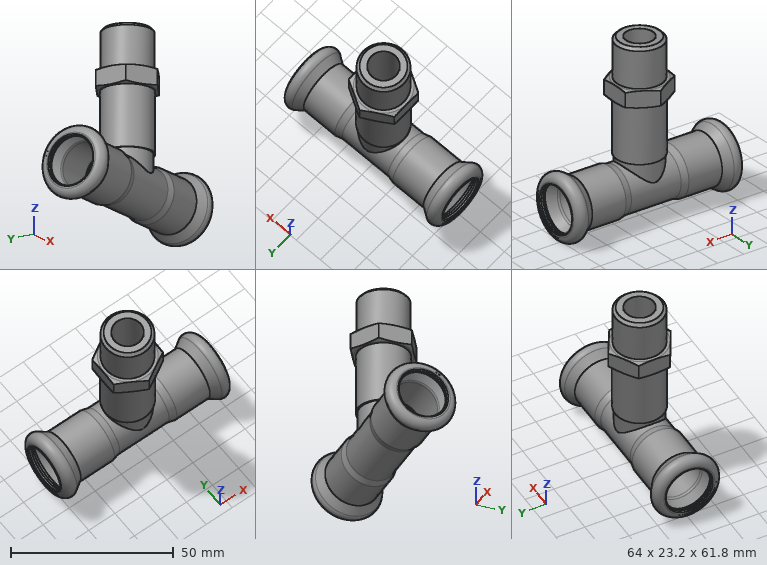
import cadquery as cq
import math

half_length = 32.0
run_radius = 8.5
run_bore_radius = 7.0
run_half_length = 9.5
sleeve_radius = 9.15
sleeve_start = 12.0
socket_radius = 7.6

bead_radius = 11.6
bead_curve = 2.7
bead_center_radius = bead_radius - bead_curve
bead_center = half_length - bead_curve
bead_cone_end = 24.8
lip_radius = 7.9
lip_chamfer = 0.4
socket_cone_end = 25.3
socket_blend = 1.5

ring_section = 1.0
ring_position = 30.85
ring_center_radius = lip_radius + ring_section
groove_radius = ring_center_radius + ring_section

branch_radius = 8.0
branch_bore_radius = 6.5
branch_top = 10.1

nipple_radius = 8.5
nipple_bore_radius = 5.0
nipple_top = 50.2
thread_radius = 16.66 / 2
thread_chamfer = 1.0
thread_chamfer_height = 1.0
hex_bottom = 30.2
hex_height = 6.0
hex_across_flats = 19.0
hex_corner_radius = hex_across_flats / math.sqrt(3)
hex_face_radius = 9.3
hex_turn = 30
hex_chamfer_angle = math.radians(15)

tab_position = 8.0
tab_thickness = 1.0
tab_head_radius = 1.0
tab_stem_width = 0.6
tab_foot_depth = 0.3


def tangent_point(center, radius, outside):
    """Point where the line from `outside` touches the circle, on the side away from the axis."""
    reach = math.dist(center, outside)
    heading = math.atan2(outside[1] - center[1], outside[0] - center[0])
    angle = heading + math.acos(radius / reach)
    return center[0] + radius * math.cos(angle), center[1] + radius * math.sin(angle)


bead_middle = (-bead_center, bead_center_radius)
outer_touch = tangent_point(bead_middle, bead_curve, (-bead_cone_end, sleeve_radius))
cone_angle = math.atan2(outer_touch[0] - bead_middle[0], outer_touch[1] - bead_middle[1])
groove_end = -socket_cone_end - (groove_radius - socket_radius) / math.tan(cone_angle)
blend_run = socket_blend * math.tan(cone_angle / 2)
blend_end = -socket_cone_end + blend_run
blend_start = (-socket_cone_end - blend_run * math.cos(cone_angle),
               socket_radius + blend_run * math.sin(cone_angle))
blend_middle = (blend_end - socket_blend * math.sin(cone_angle / 2),
                socket_radius + socket_blend * (1 - math.cos(cone_angle / 2)))


def spin_about_run(profile):
    return profile.close().revolve(360, (0, 0, 0), (1, 0, 0))


def mirrored_about_center(solid):
    return solid.mirror("YZ")


def run_half_outside():
    """Solid of revolution under the outer skin of the -X half of the run."""
    return spin_about_run(
        cq.Workplane("XY").moveTo(0, 0).lineTo(-half_length, 0).lineTo(-half_length, bead_center_radius)
        .threePointArc((bead_middle[0], bead_radius), outer_touch)
        .lineTo(-bead_cone_end, sleeve_radius).lineTo(-sleeve_start, sleeve_radius)
        .lineTo(-run_half_length, run_radius).lineTo(0, run_radius)
    )


def run_half_inside():
    """Lip, ring groove, cone, socket and bore of the -X half of the run, as one solid to remove."""
    return spin_about_run(
        cq.Workplane("XY").moveTo(0, 0).lineTo(-half_length, 0).lineTo(-half_length, lip_radius + lip_chamfer)
        .lineTo(-half_length + lip_chamfer, lip_radius).lineTo(-ring_position, lip_radius)
        .threePointArc((-ring_position - ring_section, ring_center_radius),
                       (-ring_position, groove_radius))
        .lineTo(groove_end, groove_radius)
        .lineTo(*blend_start).threePointArc(blend_middle, (blend_end, socket_radius))
        .lineTo(-sleeve_start, socket_radius).lineTo(-sleeve_start, run_bore_radius)
        .lineTo(0, run_bore_radius)
    )


def make_tab():
    foot = -run_bore_radius - tab_foot_depth
    plane = cq.Workplane("YZ").workplane(offset=tab_position)
    head = plane.circle(tab_head_radius).extrude(tab_thickness)
    stem = plane.center(0, foot / 2).rect(tab_stem_width, -foot).extrude(tab_thickness)
    return head.union(stem)


def make_tee():
    outside = run_half_outside()
    inside = run_half_inside()
    branch = cq.Workplane("XY").circle(branch_radius).extrude(branch_top)
    branch_bore = cq.Workplane("XY").circle(branch_bore_radius).extrude(branch_top)
    body = outside.union(mirrored_about_center(outside)).union(branch)
    body = body.cut(inside).cut(mirrored_about_center(inside)).cut(branch_bore)
    return body.union(make_tab())


def make_ring(side):
    section = cq.Workplane("XY").center(side * ring_position, ring_center_radius).circle(ring_section)
    return section.revolve(360, (0, -ring_center_radius, 0), (1, -ring_center_radius, 0))


def make_hexagon():
    """Hexagon with corners along Y, its corners chamfered above and below."""
    depth = (hex_corner_radius - hex_face_radius) * math.tan(hex_chamfer_angle)
    prism = (cq.Workplane("XY").workplane(offset=hex_bottom)
             .polygon(6, 2 * hex_corner_radius).extrude(hex_height).rotate((0, 0, 0), (0, 0, 1), hex_turn))
    top = hex_bottom + hex_height
    rounding = (cq.Workplane("XZ").moveTo(0, hex_bottom).lineTo(hex_face_radius, hex_bottom)
                .lineTo(hex_corner_radius, hex_bottom + depth).lineTo(hex_corner_radius, top - depth)
                .lineTo(hex_face_radius, top).lineTo(0, top).close().revolve())
    return prism.intersect(rounding)


def make_nipple():
    base = cq.Workplane("XY").workplane(offset=branch_top)
    shank = base.circle(nipple_radius).extrude(hex_bottom - branch_top)
    thread = (cq.Workplane("XY").workplane(offset=hex_bottom).circle(thread_radius)
              .extrude(nipple_top - hex_bottom).faces(">Z").chamfer(thread_chamfer_height, thread_chamfer))
    bore = base.circle(nipple_bore_radius).extrude(nipple_top - branch_top)
    return shank.union(make_hexagon()).union(thread).cut(bore)


tee = make_tee()
nipple = make_nipple()
rings = [make_ring(side) for side in (-1, 1)]
result = cq.Compound.makeCompound([tee.val(), nipple.val(), *[ring.val() for ring in rings]])